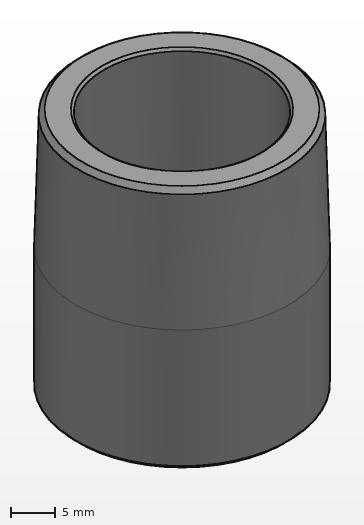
import cadquery as cq

height = 38.1
outer_radius = 16.75
bore_radius = 12.23

taper_start = 19.28
taper_inset = 0.55
shoulder_radius = outer_radius - taper_inset

rim_chamfer = 0.7
bore_chamfer = 0.35

wall_section = (
    cq.Workplane("XZ")
    .moveTo(bore_radius, 0)
    .lineTo(outer_radius - rim_chamfer, 0)
    .lineTo(outer_radius, rim_chamfer)
    .lineTo(outer_radius, taper_start)
    .lineTo(shoulder_radius, height - rim_chamfer)
    .lineTo(shoulder_radius - rim_chamfer, height)
    .lineTo(bore_radius + bore_chamfer, height)
    .lineTo(bore_radius, height - bore_chamfer)
    .close()
)

result = wall_section.revolve(360, (0, 0, 0), (0, 1, 0))